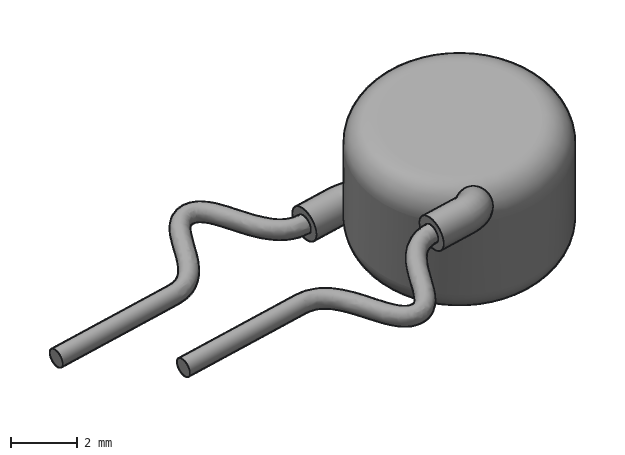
import cadquery as cq
import math

disc_radius = 3.5
disc_height = 5.0
disc_rim_radius = 1.0

total_length = 16.5
lead_offset_x = 3.1
lead_offset_z = 2.13
wire_diameter = 0.65
kink_reach = 2.49
kink_half_length = 2.5
root_handle = 1.48
apex_handle = 0.99
lead_end_y = disc_radius - total_length

sleeve_radius = 0.6
sleeve_length = 1.2
elbow_radius = 0.75
elbow_tilt = 30.0
stub_length = 0.33
sleeve_mouth_y = -disc_radius
sleeve_root_y = sleeve_mouth_y + sleeve_length


def make_disc():
    """Short cylinder with both rims rounded."""
    return (
        cq.Workplane("XY", origin=(0, 0, -disc_height / 2))
        .circle(disc_radius)
        .extrude(disc_height)
        .edges()
        .fillet(disc_rim_radius)
    )


def make_sleeve(side):
    """Straight sleeve with an elbow that turns inward and tilts toward mid-height."""
    x = side * lead_offset_x
    z = side * lead_offset_z
    tilt = math.radians(elbow_tilt)
    inward_x = -side * math.cos(tilt)
    inward_z = -side * math.sin(tilt)

    def path_point(inward, y):
        return cq.Vector(x + inward * inward_x, y, z + inward * inward_z)

    bend_mid = elbow_radius * math.sqrt(0.5)
    bend_end_y = sleeve_root_y + elbow_radius
    root = path_point(0, sleeve_root_y)
    elbow_mid = path_point(elbow_radius - bend_mid, sleeve_root_y + bend_mid)
    elbow_end = path_point(elbow_radius, bend_end_y)
    stub_end = path_point(elbow_radius + stub_length, bend_end_y)
    path = cq.Wire.assembleEdges([
        cq.Edge.makeLine(path_point(0, sleeve_mouth_y), root),
        cq.Edge.makeThreePointArc(root, elbow_mid, elbow_end),
        cq.Edge.makeLine(elbow_end, stub_end),
    ])
    return (
        cq.Workplane("XZ", origin=(x, sleeve_mouth_y, z))
        .circle(sleeve_radius)
        .sweep(cq.Workplane(path))
    )


def make_lead(side):
    """Round wire with an outward kink, seated in its sleeve down to the elbow."""
    x = side * lead_offset_x
    z = side * lead_offset_z
    apex_x = x + side * kink_reach
    apex_y = sleeve_mouth_y - kink_half_length
    kink_end_y = apex_y - kink_half_length
    outward_curve = [
        (x, sleeve_mouth_y),
        (x, sleeve_mouth_y - root_handle),
        (apex_x, apex_y + apex_handle),
        (apex_x, apex_y),
    ]
    return_curve = [
        (apex_x, apex_y),
        (apex_x, apex_y - apex_handle),
        (x, kink_end_y + root_handle),
        (x, kink_end_y),
    ]
    path = (
        cq.Workplane("XY", origin=(0, 0, z))
        .moveTo(x, sleeve_root_y)
        .lineTo(x, sleeve_mouth_y)
        .bezier(outward_curve)
        .bezier(return_curve)
        .lineTo(x, lead_end_y)
    )
    return (
        cq.Workplane("XZ", origin=(x, sleeve_root_y, z))
        .circle(wire_diameter / 2)
        .sweep(path)
    )


coating = make_disc()
leads = []
for side in (1, -1):
    lead = make_lead(side)
    coating = coating.union(make_sleeve(side)).cut(lead)
    leads.append(lead.val())

result = cq.Compound.makeCompound([*coating.solids().vals(), *leads])